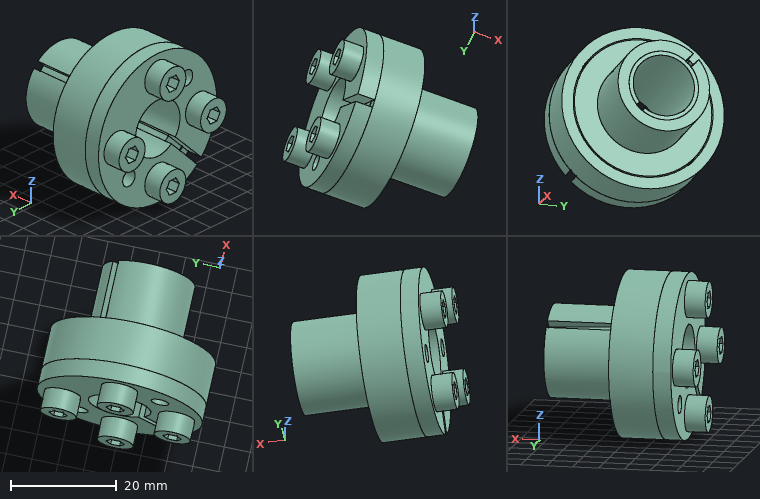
import cadquery as cq
import math


outer_radius = 16.0
bore_radius = 6.0

flange_thickness = 3.5
collar_length = 8.5
tube_length = 14.0
flange_front_x = -flange_thickness
sleeve_end_x = collar_length + tube_length

taper_front_radius = 8.4
taper_end_radius = 6.8
taper_start_x = 2.35

tube_radius = 9.0
collar_radius = 13.5
ring_clearance = 0.25
ring_inner_radius = collar_radius + ring_clearance

slit_width = 1.5
bush_slit_angle = 225.0
sleeve_slit_angle = bush_slit_angle - 180.0

pitch_radius = 11.0
screw_count = 4
head_diameter = 7.0
head_height = 4.0
socket_across_flats = 3.0
socket_corner_diameter = socket_across_flats / math.cos(math.pi / 6)
socket_depth = 3.0
jacking_hole_diameter = 3.35
jacking_hole_angles = [sleeve_slit_angle + 90.0, sleeve_slit_angle + 270.0]


def pitch_point(angle):
    """(Y, Z) position on the pitch circle."""
    turn = math.radians(angle)
    return (pitch_radius * math.cos(turn), pitch_radius * math.sin(turn))


def revolve_about_axis(profile):
    """Turn a closed outline of (X, radius) points about the X axis."""
    return cq.Workplane("XY").polyline(profile).close().revolve(360, (0, 0, 0), (1, 0, 0))


def radial_slit(angle):
    """Full-length cutter reaching from the axis past the rim in one radial direction."""
    cutter = cq.Workplane("XY").box(
        sleeve_end_x - flange_front_x, outer_radius + slit_width, slit_width, centered=(False, False, True)
    )
    return cutter.translate((flange_front_x, 0, 0)).rotate((0, 0, 0), (1, 0, 0), angle)


def make_taper_bush():
    """Front flange and tapered bush in one piece, slit along one side."""
    bush = revolve_about_axis([
        (flange_front_x, bore_radius),
        (flange_front_x, outer_radius),
        (0, outer_radius),
        (0, taper_front_radius),
        (taper_start_x, taper_front_radius),
        (sleeve_end_x, taper_end_radius),
        (sleeve_end_x, bore_radius),
    ])
    jacking_holes = (
        cq.Workplane("YZ", origin=(flange_front_x, 0, 0))
        .pushPoints([pitch_point(angle) for angle in jacking_hole_angles])
        .circle(jacking_hole_diameter / 2)
        .extrude(flange_thickness)
    )
    return bush.cut(jacking_holes).cut(radial_slit(bush_slit_angle))


def make_outer_sleeve():
    """Collar and tube around the taper, slit along one side."""
    sleeve = revolve_about_axis([
        (0, taper_front_radius),
        (0, collar_radius),
        (collar_length, collar_radius),
        (collar_length, tube_radius),
        (sleeve_end_x, tube_radius),
        (sleeve_end_x, taper_end_radius),
        (taper_start_x, taper_front_radius),
    ])
    return sleeve.cut(radial_slit(sleeve_slit_angle))


def make_spacer_ring():
    """Plain ring around the collar, with a small radial gap."""
    return cq.Workplane("YZ").circle(outer_radius).circle(ring_inner_radius).extrude(collar_length)


def make_cap_screw(angle):
    """Screw head with a hexagon socket, seated on the flange face."""
    y, z = pitch_point(angle)
    head = cq.Workplane("YZ", origin=(flange_front_x, y, z)).circle(head_diameter / 2).extrude(-head_height)
    socket = (
        cq.Workplane("YZ", origin=(flange_front_x - head_height, y, z))
        .polygon(6, socket_corner_diameter)
        .extrude(socket_depth)
    )
    return head.cut(socket)


taper_bush = make_taper_bush()
outer_sleeve = make_outer_sleeve()
spacer_ring = make_spacer_ring()
cap_screws = [make_cap_screw(index * 360.0 / screw_count) for index in range(screw_count)]

result = cq.Compound.makeCompound([
    taper_bush.val(),
    outer_sleeve.val(),
    spacer_ring.val(),
    *[screw.val() for screw in cap_screws],
])